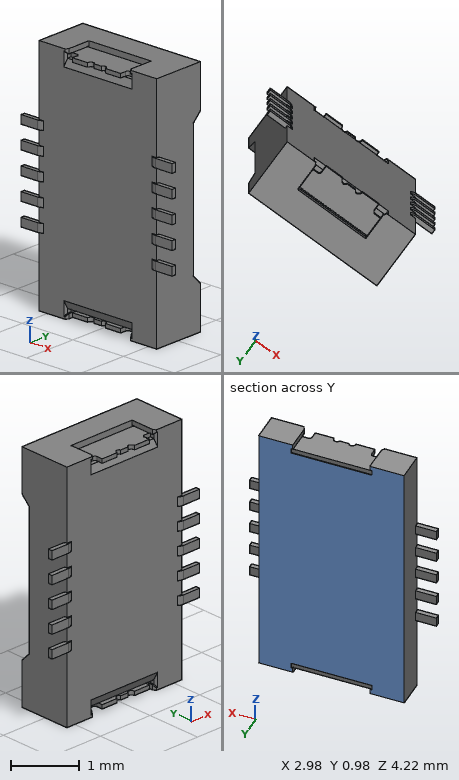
import cadquery as cq

LENGTH = 4.22
WIDTH = 2.32
DEPTH = 0.95
STANDOFF = 0.03
END_Z = LENGTH / 2

CHANNEL_DEPTH = 0.15
CHANNEL_FLOOR_LENGTH = 2.39
CHANNEL_MOUTH_LENGTH = CHANNEL_FLOOR_LENGTH + 2 * CHANNEL_DEPTH

LEAD_SPAN = 2.98
LEADS_PER_SIDE = 5
LEAD_PITCH = 0.4
LEAD_WIDTH = 0.15
LEAD_THICKNESS = 0.075
LEAD_BEND_RADIUS = 0.165
LEAD_BEND_START = WIDTH / 2

POCKET_WIDTH = 1.23
POCKET_TOP_Y = 0.48
CLIP_RECESS = 0.085
CLIP_THICKNESS = 0.07
CLIP_BACK_GAP = 0.03
CLIP_WIDTH = 1.283
POCKET_DEPTH = CLIP_RECESS + CLIP_THICKNESS

FLARE_DEPTH = 0.05
FLARE_SIDE = 0.03
FLARE_INWARD = 0.13
FLARE_OUTWARD = 0.042

CORNER_X = 0.475
CORNER_Y = 0.122
CORNER_RADIUS = 0.042
NOTCH_OUTER_X = 0.177
NOTCH_PEAK_X = 0.12
NOTCH_INNER_X = 0.075
NOTCH_PEAK_Y = 0.035
NOTCH_OUTER_RADIUS = 0.065
NOTCH_INNER_RADIUS = 0.042


def make_housing():
    block = cq.Workplane("XY").box(WIDTH, DEPTH, LENGTH, centered=(True, False, True))
    channel = (
        cq.Workplane("YZ")
        .moveTo(DEPTH, -CHANNEL_MOUTH_LENGTH / 2)
        .lineTo(DEPTH - CHANNEL_DEPTH, -CHANNEL_FLOOR_LENGTH / 2)
        .lineTo(DEPTH - CHANNEL_DEPTH, CHANNEL_FLOOR_LENGTH / 2)
        .lineTo(DEPTH, CHANNEL_MOUTH_LENGTH / 2)
        .close()
        .extrude(WIDTH / 2, both=True)
    )
    return block.cut(channel)


def make_flared_cutter(width, back_y, near_z, far_z, near_flare, far_flare):
    """Box from the mounting face up to back_y, between two heights, flared at the mounting face."""
    height = near_z - far_z
    mouth_height = height + near_flare + far_flare
    mouth_shift = (near_flare - far_flare) / 2
    mid_z = (near_z + far_z) / 2
    straight = (
        cq.Workplane("XZ", origin=(0, 0, mid_z))
        .rect(width, height)
        .extrude(-back_y)
    )
    flare = (
        cq.Workplane("XZ", origin=(0, 0, mid_z))
        .center(0, mouth_shift)
        .rect(width + 2 * FLARE_SIDE, mouth_height)
        .workplane(offset=-FLARE_DEPTH)
        .center(0, -mouth_shift)
        .rect(width, height)
        .loft(ruled=True)
    )
    return straight.union(flare)


def make_pocket():
    """Cutter for the pocket and the clip slot at the +Z end."""
    floor_z = END_Z - POCKET_DEPTH
    pocket = make_flared_cutter(POCKET_WIDTH, POCKET_TOP_Y, END_Z, floor_z, 0, 0)
    clip_slot = make_flared_cutter(
        CLIP_WIDTH, POCKET_TOP_Y, END_Z - CLIP_RECESS, floor_z, FLARE_OUTWARD, FLARE_INWARD
    )
    return pocket.union(clip_slot)


def make_clip():
    """Metal plate on the pocket floor at the +Z end, with two tabs past the mounting face."""
    back_y = POCKET_TOP_Y - CLIP_BACK_GAP
    right_half = (
        cq.Workplane("XY", origin=(0, 0, END_Z - POCKET_DEPTH))
        .moveTo(0, 0)
        .lineTo(NOTCH_INNER_X, 0)
        .radiusArc((NOTCH_PEAK_X, NOTCH_PEAK_Y), NOTCH_INNER_RADIUS)
        .radiusArc((NOTCH_OUTER_X, -STANDOFF), NOTCH_OUTER_RADIUS)
        .lineTo(CORNER_X, -STANDOFF)
        .lineTo(CORNER_X, CORNER_Y - CORNER_RADIUS)
        .radiusArc((CORNER_X + CORNER_RADIUS, CORNER_Y), CORNER_RADIUS)
        .lineTo(CLIP_WIDTH / 2, CORNER_Y)
        .lineTo(CLIP_WIDTH / 2, back_y)
        .lineTo(0, back_y)
        .close()
        .extrude(CLIP_THICKNESS)
    )
    return right_half.union(right_half.mirror("YZ"))


def make_lead():
    """One lead on the +X side, centred on z = 0, its inner end bent up into the housing."""
    lead_top_y = LEAD_THICKNESS - STANDOFF
    return (
        cq.Workplane("XY", origin=(0, 0, -LEAD_WIDTH / 2))
        .moveTo(LEAD_SPAN / 2, -STANDOFF)
        .lineTo(LEAD_SPAN / 2, lead_top_y)
        .lineTo(LEAD_BEND_START, lead_top_y)
        .lineTo(LEAD_BEND_START - LEAD_BEND_RADIUS, LEAD_BEND_RADIUS - STANDOFF)
        .radiusArc((LEAD_BEND_START, -STANDOFF), -LEAD_BEND_RADIUS)
        .close()
        .extrude(LEAD_WIDTH)
    )


end_pocket = make_pocket()
end_clip = make_clip()
lead = make_lead()

result = make_housing()
result = result.cut(end_pocket).cut(end_pocket.mirror("XY"))
result = result.union(end_clip).union(end_clip.mirror("XY"))

for row in range(LEADS_PER_SIDE):
    lead_z = (row - (LEADS_PER_SIDE - 1) / 2) * LEAD_PITCH
    placed_lead = lead.translate((0, 0, lead_z))
    result = result.union(placed_lead).union(placed_lead.mirror("YZ"))